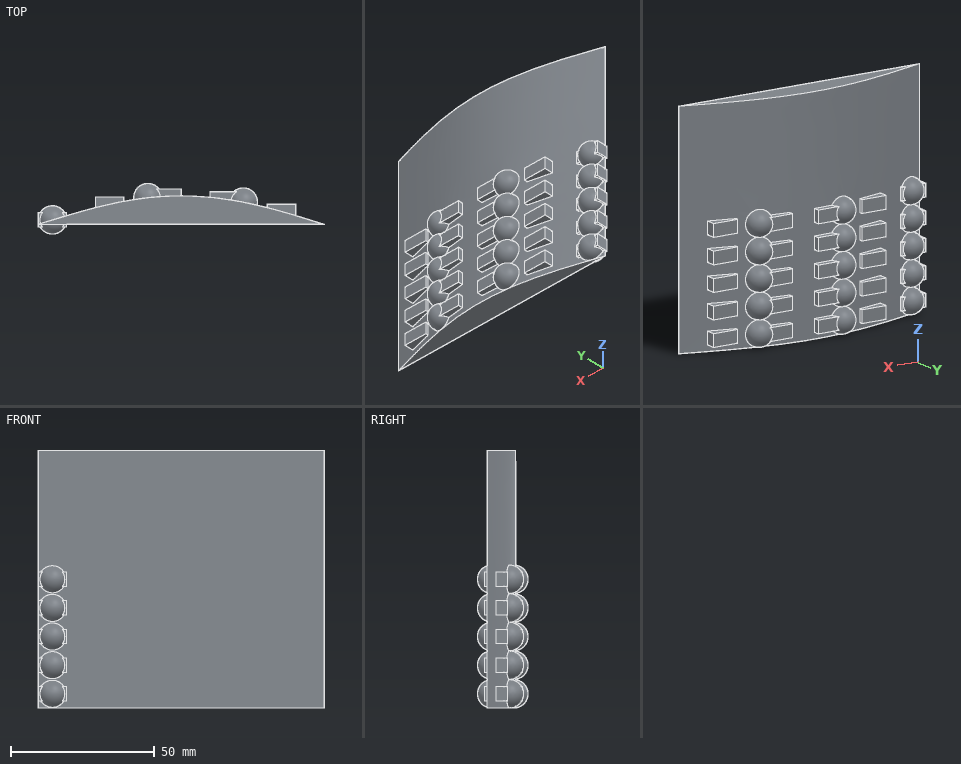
import cadquery as cq
import math

plate_length = 100.0
plate_height = 90.0
bulge = 10.0

row_count = 5
row_pitch = 10.0
first_row_height = 5.0
end_offset = 5.0

block_length = 10.0
block_side = 5.0
block_columns = 5
block_pitch = plate_length / block_columns

ball_clearance = 0.02
ball_radius = (row_pitch - ball_clearance) / 2
ball_columns = 3
ball_pitch = plate_length / ball_columns

curve_spans = 20


def curve_depth(x):
    """Y of the sine-shaped back face at a distance x along the plate."""
    return bulge * math.sin(math.pi * x / plate_length)


def make_plate():
    """Plate with a flat front and a sine-shaped back."""
    step = plate_length / curve_spans
    stations = [i * step for i in range(1, curve_spans)]
    back_points = [(x, curve_depth(x)) for x in stations]
    back_points.append((plate_length, 0))
    return (
        cq.Workplane("XY")
        .moveTo(0, 0)
        .spline(back_points, includeCurrent=True)
        .close()
        .extrude(plate_height)
    )


def curve_positions(columns, pitch):
    """Centres on the back face, for every column and every row."""
    positions = []
    for row in range(row_count):
        z = first_row_height + row * row_pitch
        for column in range(columns):
            x = end_offset + column * pitch
            positions.append((x, curve_depth(x), z))
    return positions


result = make_plate()

block = cq.Workplane("XY").box(block_length, block_side, block_side)
for position in curve_positions(block_columns, block_pitch):
    result = result.union(block.translate(position))

ball = cq.Workplane("XZ").sphere(ball_radius)
for position in curve_positions(ball_columns, ball_pitch):
    result = result.union(ball.translate(position))